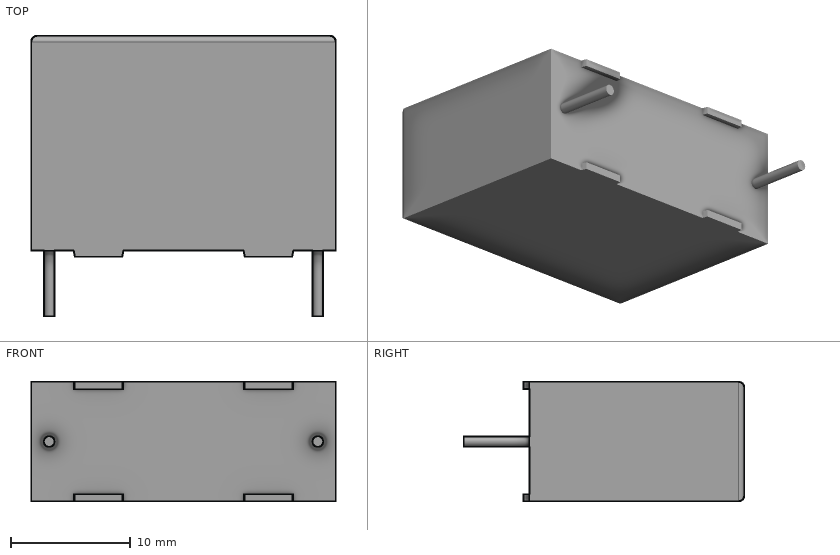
import cadquery as cq

case_width = 25.5
case_length = 18.0
case_height = 10.02
back_fillet = 0.5

foot_base_width = 4.18
foot_tip_width = 3.98
foot_length = 0.5
foot_thickness = 0.6
foot_offset = 7.11

lead_diameter = 0.9
lead_length = 5.5
lead_pitch = 22.5


def make_foot(center_x, bottom_z):
    """Tapered foot standing on the lead face, wider at its base than at its tip."""
    half_base = foot_base_width / 2
    half_tip = foot_tip_width / 2
    return (
        cq.Workplane("XY", origin=(center_x, 0, bottom_z))
        .moveTo(-half_base, 0)
        .lineTo(-half_tip, -foot_length)
        .lineTo(half_tip, -foot_length)
        .lineTo(half_base, 0)
        .close()
        .extrude(foot_thickness)
    )


def make_case():
    """Box with a rounded rim around its back, and feet flush with its upper and lower faces."""
    case = (
        cq.Workplane("XY")
        .box(case_width, case_length, case_height, centered=(True, False, True))
        .faces(">Y")
        .edges()
        .fillet(back_fillet)
    )
    lower_foot_bottom = -case_height / 2
    upper_foot_bottom = case_height / 2 - foot_thickness
    for center_x in (-foot_offset, foot_offset):
        for bottom_z in (lower_foot_bottom, upper_foot_bottom):
            case = case.union(make_foot(center_x, bottom_z))
    return case


def make_lead(center_x):
    """Straight round wire running from the lead face toward -Y."""
    return cq.Workplane("XZ", origin=(center_x, 0, 0)).circle(lead_diameter / 2).extrude(lead_length)


case = make_case()
leads = [make_lead(center_x) for center_x in (-lead_pitch / 2, lead_pitch / 2)]

result = cq.Compound.makeCompound([case.val(), *[lead.val() for lead in leads]])